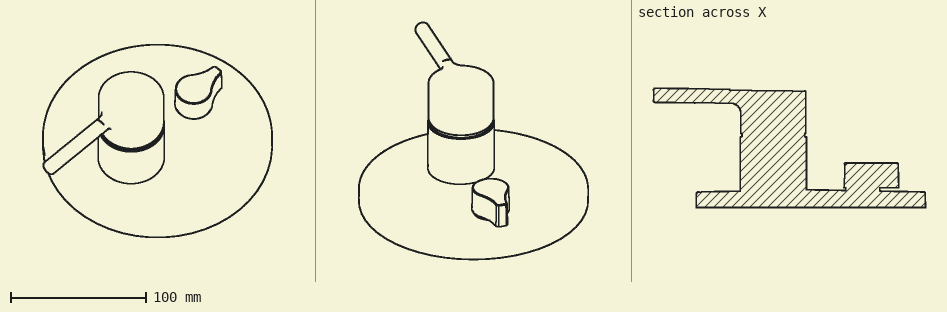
import cadquery as cq
import math

overall_depth = 201.5
plate_diameter = 170.0
plate_radius = plate_diameter / 2
plate_edge_height = 11.7
plate_edge_round = 1.8
plate_center_height = 13.3

body_y = -27.8
body_radius = 24.5
body_top = 52.6
cap_radius = 24.2
cap_bottom = 54.6
cap_center_height = 86.7
groove_radius = 23.4
groove_chamfer = 0.6
cap_top_round = 1.2

lever_tilt = 0.7
lever_diameter = 10.7
lever_radius = lever_diameter / 2
lever_tip_y = plate_radius - overall_depth
lever_top = 88.5
lever_tip_round = 1.6
lever_blend = 7.0
neck_end_y = -60.0
pick_margin = 2.0

knob_y = 38.3
knob_radius = 14.0
knob_bottom = 14.7
knob_top = 33.0
knob_taper = 1.5
knob_top_bevel = 0.6
bevel_angle = 45
stem_radius = 12.7
knob_flank_angle = 30
tip_y = 65.0
tip_half_width = 3.0
tip_corner = (4.6, 63.5)
flank_start = (5.5, 57.6)
flank_middle = (8.3, 50.8)


def make_plate():
    profile = (
        cq.Workplane("XZ")
        .lineTo(plate_radius, 0)
        .lineTo(plate_radius, plate_edge_height)
        .lineTo(0, plate_center_height)
        .close()
    )
    plate = profile.revolve(360, (0, 0), (0, 1))
    rim = cq.selectors.RadiusNthSelector(-1)
    return plate.edges("%CIRCLE and (not <Z)").edges(rim).fillet(plate_edge_round)


def cylinder(y, radius, bottom, top):
    return cq.Workplane("XY", origin=(0, y, bottom)).circle(radius).extrude(top - bottom)


def make_body():
    body = cylinder(body_y, body_radius, 0, body_top).faces(">Z").chamfer(groove_chamfer)
    groove = cylinder(body_y, groove_radius, 0, cap_bottom + groove_chamfer)
    return body.union(groove)


def make_handle():
    slope = math.tan(math.radians(lever_tilt))
    oversize = 2 * cap_radius
    cap = cylinder(body_y, cap_radius, cap_bottom, cap_center_height + oversize)
    cap = cap.faces("<Z").chamfer(groove_chamfer)

    tip_z = lever_top - lever_radius
    end_overhang = (lever_radius - lever_tip_round) * slope
    lever_length = body_y - lever_tip_y - end_overhang
    root_z = tip_z - lever_length * slope
    direction = cq.Vector(0, -1, slope)
    rod_plane = cq.Plane(origin=(0, body_y, root_z), xDir=(1, 0, 0), normal=direction)
    rod = cq.Workplane(rod_plane).circle(lever_radius).extrude(lever_length)
    rod = rod.faces("<Y").edges().fillet(lever_tip_round)

    junction = cq.selectors.BoxSelector(
        (-oversize, body_y - cap_radius - pick_margin, root_z - pick_margin),
        (oversize, body_y - cap_radius + pick_margin, root_z + pick_margin),
    )
    handle = cap.union(rod).edges(junction).fillet(lever_blend)

    def trim_height(y):
        return cap_center_height + (body_y - y) * slope

    back_y = body_y + oversize
    trim_top = cap_center_height + 2 * oversize
    trim = (
        cq.Workplane("YZ", origin=(-oversize, 0, 0))
        .moveTo(neck_end_y, trim_height(neck_end_y))
        .lineTo(back_y, trim_height(back_y))
        .lineTo(back_y, trim_top)
        .lineTo(neck_end_y, trim_top)
        .close()
        .extrude(2 * oversize)
    )
    handle = handle.cut(trim)
    rim = cq.selectors.BoxSelector(
        (-oversize, body_y - cap_radius / 2, cap_center_height - pick_margin),
        (oversize, body_y + cap_radius, cap_center_height + pick_margin),
    )
    return handle.edges(rim).fillet(cap_top_round)


def make_knob():
    angle = math.radians(knob_flank_angle)
    flank_end = (knob_radius * math.cos(angle), knob_y + knob_radius * math.sin(angle))

    def mirrored(point):
        return (-point[0], point[1])

    knob = (
        cq.Workplane("XY", origin=(0, 0, knob_bottom))
        .moveTo(*flank_end)
        .threePointArc((0, knob_y - knob_radius), mirrored(flank_end))
        .threePointArc(mirrored(flank_middle), mirrored(flank_start))
        .lineTo(*mirrored(tip_corner))
        .lineTo(-tip_half_width, tip_y)
        .lineTo(tip_half_width, tip_y)
        .lineTo(*tip_corner)
        .lineTo(*flank_start)
        .threePointArc(flank_middle, flank_end)
        .close()
        .extrude(knob_top - knob_top_bevel - knob_bottom, taper=knob_taper)
    )
    knob = knob.faces(">Z").wires().toPending().extrude(knob_top_bevel, taper=bevel_angle)
    return knob.union(cylinder(knob_y, stem_radius, 0, knob_bottom))


result = make_plate().union(make_body()).union(make_handle()).union(make_knob())